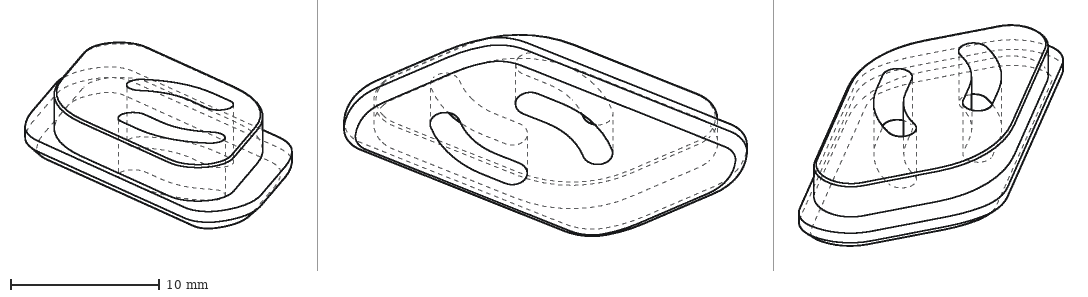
import cadquery as cq
import math

flange_height = 1.55
flange_bevel = 0.78
block_height = 2.6
block_chamfer = 0.15

slant = 57.0

flange_long_run = 15.51
flange_slant_run = 5.45
flange_side_turn = 90 - slant
flange_acute_arcs = [(2.07, 67), (4.4, 23), (4.4, flange_side_turn)]
flange_obtuse_arcs = [(9.95, 15.6), (4.07, slant - 15.6)]

block_long_run = 9.35
block_slant_run = 5.34
block_acute_arcs = [(2.5, 180 - slant)]
block_obtuse_arcs = [(8.0, slant)]

slot_pair_x = 1.85
slot_radius = 1.0
slot_y = 3.0
slot_round_x = 2.72
slot_bend_x = 0.93
slot_bend_radius = 6.0
slot_bend_angle = 45.0


def left_arc(point, heading, radius, turn):
    """Midpoint and end of an arc that leaves a point on a heading and turns left."""
    def along(angle):
        start = math.radians(heading)
        stop = math.radians(heading + angle)
        return (
            point[0] + radius * (math.sin(stop) - math.sin(start)),
            point[1] - radius * (math.cos(stop) - math.cos(start)),
        )

    return along(turn / 2), along(turn)


def half_outline(long_run, acute_arcs, slant_run, obtuse_arcs):
    """Steps along the top edge and down the left side, starting from (0, 0).

    Each step is a list of points: one for a line, two for an arc.
    """
    point = (-long_run, 0)
    steps = [[point]]
    heading = 180
    for radius, turn in acute_arcs:
        middle, point = left_arc(point, heading, radius, turn)
        steps.append([middle, point])
        heading += turn
    direction = math.radians(heading)
    point = (point[0] + slant_run * math.cos(direction), point[1] + slant_run * math.sin(direction))
    steps.append([point])
    for radius, turn in obtuse_arcs:
        middle, point = left_arc(point, heading, radius, turn)
        steps.append([middle, point])
        heading += turn
    return steps


def rounded_parallelogram(base_z, *outline):
    """Closed outline centred on the origin, its second half a half turn of the first."""
    steps = half_outline(*outline)
    end_x, end_y = steps[-1][-1]
    start_x, start_y = -end_x / 2, -end_y / 2
    sketch = cq.Workplane("XY", origin=(0, 0, base_z)).moveTo(start_x, start_y)
    for side in (1, -1):
        for step in steps:
            placed = [(side * (start_x + x), side * (start_y + y)) for x, y in step]
            if len(placed) == 1:
                sketch = sketch.lineTo(*placed[0])
            else:
                sketch = sketch.threePointArc(*placed)
    return sketch.close()


def curved_slot():
    """Through cutter for the upper slot: a straight run that bends down to the left."""
    bend_center_y = slot_y - slot_bend_radius
    inner = slot_bend_radius - slot_radius
    outer = slot_bend_radius + slot_radius

    def on_bend(radius, angle):
        turn = math.radians(angle)
        return (slot_bend_x - radius * math.sin(turn), bend_center_y + radius * math.cos(turn))

    end_x, end_y = on_bend(slot_bend_radius, slot_bend_angle)
    end_turn = math.radians(slot_bend_angle)
    end_tip = (end_x - slot_radius * math.cos(end_turn), end_y - slot_radius * math.sin(end_turn))
    return (
        cq.Workplane("XY")
        .moveTo(slot_round_x, slot_y + slot_radius)
        .lineTo(slot_bend_x, slot_y + slot_radius)
        .threePointArc(on_bend(outer, slot_bend_angle / 2), on_bend(outer, slot_bend_angle))
        .threePointArc(end_tip, on_bend(inner, slot_bend_angle))
        .threePointArc(on_bend(inner, slot_bend_angle / 2), on_bend(inner, 0))
        .lineTo(slot_round_x, slot_y - slot_radius)
        .threePointArc((slot_round_x + slot_radius, slot_y), (slot_round_x, slot_y + slot_radius))
        .close()
        .extrude(flange_height + block_height)
    )


flange = (
    rounded_parallelogram(0, flange_long_run, flange_acute_arcs, flange_slant_run, flange_obtuse_arcs)
    .extrude(flange_height)
    .faces("<Z")
    .chamfer(flange_bevel)
)

block = (
    rounded_parallelogram(
        flange_height, block_long_run, block_acute_arcs, block_slant_run, block_obtuse_arcs
    )
    .extrude(block_height)
    .faces(">Z")
    .chamfer(block_chamfer)
)

upper_slot = curved_slot()
lower_slot = upper_slot.rotate((slot_pair_x, 0, 0), (slot_pair_x, 0, 1), 180)

result = flange.union(block).cut(upper_slot).cut(lower_slot)